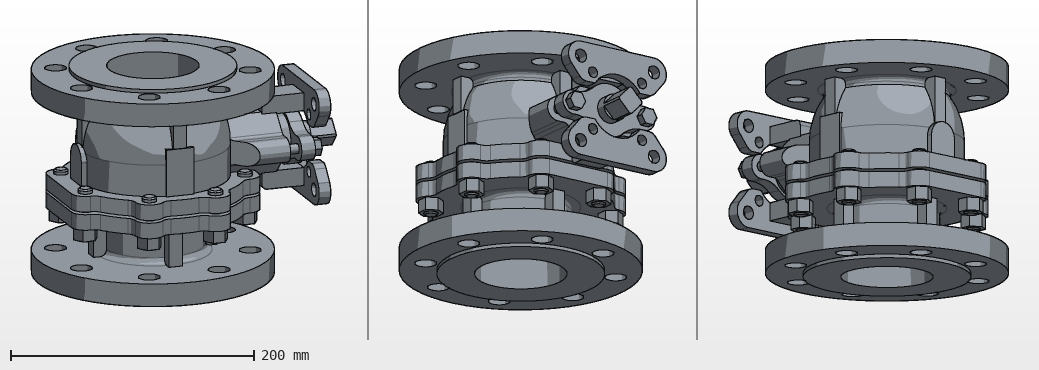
import cadquery as cq
import math


bore_diameter = 76.0
overall_length = 180.0
overall_height = 256.5

flange_diameter = 200.0
flange_thickness = 19.5
raised_face_diameter = 138.0
raised_face_height = 3.0
flange_hole_diameter = 18.0
flange_hole_circle = 160.0
bolt_count = 8
half_pitch = 180.0 / bolt_count

body_radius = 63.9
dome_center_z = 23.5
neck_radius = 52.3
neck_fillet = 4.5
adapter_radius = 43.3
adapter_top_fillet = 6.0
adapter_bottom_fillet = 5.5

joint_top_z = -3.3
joint_plate_thickness = 13.3
joint_gap = 2.3
joint_disc_radius = 77.0
joint_bolt_radius = 75.7
joint_lug_radius = 12.3
joint_lug_fillet = 9.0

stud_diameter = 12.0
stud_top_z = 0.5
stud_chamfer = 1.3
nut_flats = 18.0
nut_height = 10.8
stud_tip = 1.5

rib_width = 11.8
upper_rib_reach = 64.0
lower_rib_reach = 54.0

arched_pad_width = 25.6
arched_pad_reach = 67.5
arched_pad_top_z = 29.5
side_pad_width = 23.9
side_pad_reach_left = 64.5
side_pad_reach_right = 65.0
side_pad_top_z = 36.7

stem_z = 17.0
stem_radius = 11.3
stem_end_y = overall_height - flange_diameter / 2
stem_square_start_y = 134.5
stem_square = 17.5

housing_end_y = 103.5
housing_half_height = 26.7
housing_top_half_width = 11.3
housing_fillet = 6.2
housing_chamfer_offset = 30.8
gland_lug_x = 36.0
gland_lug_radius = 10.3
gland_start_y = 113.5
gland_end_y = 125.5
gland_disc_radius = 22.8
gland_fillet = 25.6
gland_neck_radius = 20.5
gland_stud_diameter = 8.2
gland_nut_flats = 13.3
gland_nut_end_y = 132.4

bracket_leg_width = 25.5
bracket_leg_start_y = 90.8
bracket_leg_inner = 24.4
bracket_leg_thickness = 15.5
bracket_leg_round = 5.0
bracket_plate_start_y = 127.5
bracket_plate_end_y = 137.7
bracket_outer_hole = 36.7
bracket_outer_radius = 12.5
bracket_outer_hole_diameter = 11.0
bracket_inner_hole = 24.5
bracket_corner_x = 31.3
bracket_corner_radius = 8.7
bracket_lower_edge = 15.6
bracket_inner_hole_diameter = 9.0
bracket_opening_radius = 27.5

end_z = overall_length / 2
flange_outer_z = end_z - raised_face_height
flange_inner_z = flange_outer_z - flange_thickness
joint_mid_top_z = joint_top_z - joint_plate_thickness
joint_mid_bottom_z = joint_mid_top_z - joint_gap
joint_bottom_z = joint_mid_bottom_z - joint_plate_thickness

hex_ratio = 2 / math.sqrt(3)

match_tolerance = 0.03


def cylinder_z(radius, z_low, z_high):
    return cq.Workplane("XY").workplane(offset=z_low).circle(radius).extrude(z_high - z_low)


def box_between(x0, x1, y0, y1, z0, z1):
    return cq.Workplane("XY").box(x1 - x0, y1 - y0, z1 - z0, centered=False).translate((x0, y0, z0))


def stem_plane(y):
    """Plane across the stem axis at height y; local x is X, local y is Z, extrudes toward +Y."""
    return cq.Workplane(cq.Plane(origin=(0, y, stem_z), xDir=(1, 0, 0), normal=(0, 1, 0)))


def stem_disc(points, radius, y0, y1):
    return stem_plane(y0).pushPoints(points).circle(radius).extrude(y1 - y0)


def flange(side):
    """Upper flange for side 1, its mirror image at the lower end for side -1."""
    disc = cylinder_z(flange_diameter / 2, flange_inner_z, flange_outer_z)
    face = cylinder_z(raised_face_diameter / 2, flange_outer_z, end_z)
    holes = (
        cq.Workplane("XY")
        .workplane(offset=flange_inner_z)
        .polarArray(flange_hole_circle / 2, half_pitch, 360, bolt_count)
        .circle(flange_hole_diameter / 2)
        .extrude(flange_thickness)
    )
    upper = disc.union(face).cut(holes)
    return upper if side > 0 else upper.mirror("XY")


def turned_body():
    dome_end_z = dome_center_z + math.sqrt(body_radius**2 - neck_radius**2)
    dome_mid = math.acos(neck_radius / body_radius) / 2
    adapter_low_z = -flange_inner_z + adapter_bottom_fillet
    adapter_high_z = joint_bottom_z - adapter_top_fillet
    bend = math.sqrt(0.5)

    def cove_mid(radius, z, fillet, direction):
        """Middle of a quarter-round cove that leaves a cylinder and flares outward."""
        return (radius + fillet * (1 - bend), z + direction * fillet * bend)

    return (
        cq.Workplane("XZ")
        .moveTo(0, -flange_inner_z)
        .lineTo(adapter_radius + adapter_bottom_fillet, -flange_inner_z)
        .threePointArc(
            cove_mid(adapter_radius, adapter_low_z, adapter_bottom_fillet, -1),
            (adapter_radius, adapter_low_z),
        )
        .lineTo(adapter_radius, adapter_high_z)
        .threePointArc(
            cove_mid(adapter_radius, adapter_high_z, adapter_top_fillet, 1),
            (adapter_radius + adapter_top_fillet, joint_bottom_z),
        )
        .lineTo(body_radius, joint_bottom_z)
        .lineTo(body_radius, dome_center_z)
        .threePointArc(
            (body_radius * math.cos(dome_mid), dome_center_z + body_radius * math.sin(dome_mid)),
            (neck_radius, dome_end_z),
        )
        .lineTo(neck_radius, flange_inner_z - neck_fillet)
        .threePointArc(
            cove_mid(neck_radius, flange_inner_z - neck_fillet, neck_fillet, 1),
            (neck_radius + neck_fillet, flange_inner_z),
        )
        .lineTo(0, flange_inner_z)
        .close()
        .revolve(360, (0, 0, 0), (0, 1, 0))
    )


def joint_plate(bottom_z):
    """Disc with a lug at each bolt; straight sides join the lug pairs facing +Y and -Y."""
    top_z = bottom_z + joint_plate_thickness
    lugs = (
        cq.Workplane("XY")
        .workplane(offset=bottom_z)
        .polarArray(joint_bolt_radius, half_pitch, 360, bolt_count)
        .circle(joint_lug_radius)
        .extrude(joint_plate_thickness)
    )
    lug_x = joint_bolt_radius * math.sin(math.radians(half_pitch))
    side_y = joint_bolt_radius * math.cos(math.radians(half_pitch)) + joint_lug_radius
    straight = box_between(-lug_x, lug_x, -side_y, side_y, bottom_z, top_z)
    plate = cylinder_z(joint_disc_radius, bottom_z, top_z).union(lugs)
    notch = [
        edge for edge in plate.edges("|Z").vals()
        if abs(math.hypot(edge.Center().x, edge.Center().y) - joint_disc_radius) < match_tolerance
        and abs(edge.Center().y) > match_tolerance
    ]
    return plate.newObject(notch).fillet(joint_lug_fillet).union(straight)


def joint_fasteners():
    tip_z = joint_bottom_z - nut_height - stud_tip
    stud = cylinder_z(stud_diameter / 2, tip_z, stud_top_z).faces("<Z or >Z").chamfer(stud_chamfer)
    nut = (
        cq.Workplane("XY")
        .workplane(offset=joint_bottom_z - nut_height)
        .transformed(rotate=(0, 0, 90))
        .polygon(6, nut_flats * hex_ratio)
        .extrude(nut_height)
    )
    fastener = stud.union(nut)
    group = cq.Workplane("XY")
    for index in range(bolt_count):
        angle = math.radians(half_pitch * (2 * index + 1))
        place = (joint_bolt_radius * math.cos(angle), joint_bolt_radius * math.sin(angle), 0)
        group = group.union(fastener.translate(place))
    return group


def cross_ribs(reach, z_low, z_high):
    half = rib_width / 2
    along_x = box_between(-reach, reach, -half, half, z_low, z_high)
    along_y = box_between(-half, half, -reach, reach, z_low, z_high)
    return along_x.union(along_y)


def side_pads():
    half = side_pad_width / 2
    return box_between(
        -side_pad_reach_left, side_pad_reach_right, -half, half, joint_top_z, side_pad_top_z
    )


def arched_pad():
    half = arched_pad_width / 2
    return (
        cq.Workplane("XZ")
        .moveTo(-half, joint_top_z)
        .lineTo(half, joint_top_z)
        .lineTo(half, arched_pad_top_z - half)
        .threePointArc((0, arched_pad_top_z), (-half, arched_pad_top_z - half))
        .close()
        .extrude(arched_pad_reach)
    )


def stem_housing():
    """Octagonal block with 45 degree flanks and a lug on either side, running in to the pipe axis."""
    flank_top_x = housing_top_half_width
    flank_base_x = flank_top_x + housing_half_height - gland_lug_radius
    core = (
        stem_plane(0)
        .moveTo(gland_lug_x, gland_lug_radius)
        .lineTo(flank_base_x, gland_lug_radius)
        .lineTo(flank_top_x, housing_half_height)
        .lineTo(-flank_top_x, housing_half_height)
        .lineTo(-flank_base_x, gland_lug_radius)
        .lineTo(-gland_lug_x, gland_lug_radius)
        .threePointArc((-gland_lug_x - gland_lug_radius, 0), (-gland_lug_x, -gland_lug_radius))
        .lineTo(-flank_base_x, -gland_lug_radius)
        .lineTo(-flank_top_x, -housing_half_height)
        .lineTo(flank_top_x, -housing_half_height)
        .lineTo(flank_base_x, -gland_lug_radius)
        .lineTo(gland_lug_x, -gland_lug_radius)
        .threePointArc((gland_lug_x + gland_lug_radius, 0), (gland_lug_x, gland_lug_radius))
        .close()
        .extrude(housing_end_y)
    )
    flank_feet = [
        edge for edge in core.edges("|Y").vals()
        if abs(abs(edge.Center().x) - flank_base_x) < match_tolerance
    ]
    core = core.newObject(flank_feet).fillet(housing_fillet)
    wedge = (
        cq.Workplane("XY")
        .moveTo(0, housing_chamfer_offset)
        .lineTo(housing_end_y - housing_chamfer_offset, housing_end_y)
        .lineTo(housing_chamfer_offset - housing_end_y, housing_end_y)
        .close()
        .extrude(4 * housing_half_height)
        .translate((0, 0, stem_z - 2 * housing_half_height))
    )
    return core.intersect(wedge)


def gland():
    """Two-lug gland flange on its neck, held down by a stud and nut through each lug."""
    lug_places = [(-gland_lug_x, 0), (gland_lug_x, 0)]
    flange_plate = stem_disc([(0, 0)], gland_disc_radius, gland_start_y, gland_end_y)
    web = (
        stem_plane(gland_start_y)
        .rect(2 * gland_lug_x, 2 * gland_lug_radius)
        .extrude(gland_end_y - gland_start_y)
    )
    flange_plate = flange_plate.union(web)
    corner_x = math.sqrt(gland_disc_radius**2 - gland_lug_radius**2)
    corners = [
        edge for edge in flange_plate.edges("|Y").vals()
        if abs(abs(edge.Center().x) - corner_x) < match_tolerance
    ]
    flange_plate = flange_plate.newObject(corners).fillet(gland_fillet)

    lugs = stem_disc(lug_places, gland_lug_radius, gland_start_y, gland_end_y)
    neck = stem_disc([(0, 0)], gland_neck_radius, housing_end_y, gland_start_y)
    studs = stem_disc(lug_places, gland_stud_diameter / 2, housing_end_y, gland_start_y)
    nuts = (
        stem_plane(gland_end_y)
        .pushPoints(lug_places)
        .polygon(6, gland_nut_flats * hex_ratio)
        .extrude(gland_nut_end_y - gland_end_y)
    )
    return flange_plate.union(lugs).union(neck).union(studs).union(nuts)


def stem():
    """Round shank whose end is squared, with corners left at the shank radius."""
    shank = stem_disc([(0, 0)], stem_radius, gland_end_y, stem_end_y)
    around_square = stem_disc([(0, 0)], 2 * stem_radius, stem_square_start_y, stem_end_y)
    square = (
        stem_plane(stem_square_start_y)
        .transformed(rotate=(0, 0, 45))
        .rect(stem_square, stem_square)
        .extrude(stem_end_y - stem_square_start_y)
    )
    return shank.cut(around_square.cut(square))


def on_circle(center, radius, degrees):
    angle = math.radians(degrees)
    return (center[0] + radius * math.cos(angle), center[1] + radius * math.sin(angle))


def mirrored(point):
    return (-point[0], point[1])


def bracket_outline():
    """Outline with a large lobe around each outer hole, tapering to a rounded inner corner."""
    outer = (bracket_outer_hole, bracket_outer_hole)
    corner = (bracket_corner_x, bracket_lower_edge + bracket_corner_radius)
    rise = (outer[0] - corner[0], outer[1] - corner[1])
    facing = math.degrees(
        math.atan2(rise[1], rise[0])
        - math.acos((bracket_corner_radius - bracket_outer_radius) / math.hypot(*rise))
    )
    bottom = on_circle(corner, bracket_corner_radius, -90)
    corner_mid = on_circle(corner, bracket_corner_radius, (facing - 90) / 2)
    flank_low = on_circle(corner, bracket_corner_radius, facing)
    flank_high = on_circle(outer, bracket_outer_radius, facing)
    outer_mid = on_circle(outer, bracket_outer_radius, (facing + 90) / 2)
    top = on_circle(outer, bracket_outer_radius, 90)
    return (
        stem_plane(bracket_plate_start_y)
        .moveTo(*mirrored(bottom))
        .lineTo(*bottom)
        .threePointArc(corner_mid, flank_low)
        .lineTo(*flank_high)
        .threePointArc(outer_mid, top)
        .lineTo(*mirrored(top))
        .threePointArc(mirrored(outer_mid), mirrored(flank_high))
        .lineTo(*mirrored(flank_low))
        .threePointArc(mirrored(corner_mid), mirrored(bottom))
        .close()
    )


def bracket(side):
    """Plate with two bolt holes on each side, carried on a leg that stands on the stem housing."""
    span = (bracket_plate_start_y, bracket_plate_end_y)
    plate = bracket_outline().extrude(bracket_plate_end_y - bracket_plate_start_y)
    for position, diameter in (
        (bracket_inner_hole, bracket_inner_hole_diameter),
        (bracket_outer_hole, bracket_outer_hole_diameter),
    ):
        plate = plate.cut(stem_disc([(-position, position), (position, position)], diameter / 2, *span))
    plate = plate.cut(stem_disc([(0, 0)], bracket_opening_radius, *span))

    leg_low_z = stem_z + bracket_leg_inner
    leg = box_between(
        -bracket_leg_width / 2, bracket_leg_width / 2,
        bracket_leg_start_y, bracket_plate_start_y,
        leg_low_z, leg_low_z + bracket_leg_thickness,
    )
    leg = leg.edges(">Z and <Y").fillet(bracket_leg_round)

    upper = plate.union(leg)
    return upper if side > 0 else upper.mirror("XY", (0, 0, stem_z))


valve = turned_body()
valve = valve.union(flange(1)).union(flange(-1))
valve = valve.union(cross_ribs(upper_rib_reach, joint_top_z, flange_inner_z))
valve = valve.union(cross_ribs(lower_rib_reach, -flange_inner_z, joint_bottom_z))
valve = valve.union(side_pads()).union(arched_pad())
valve = valve.union(joint_plate(joint_mid_top_z)).union(joint_plate(joint_bottom_z))
valve = valve.union(joint_fasteners())
valve = valve.union(stem_housing()).union(gland()).union(stem())
valve = valve.union(bracket(1)).union(bracket(-1))
result = valve.cut(cylinder_z(bore_diameter / 2, -end_z, end_z))